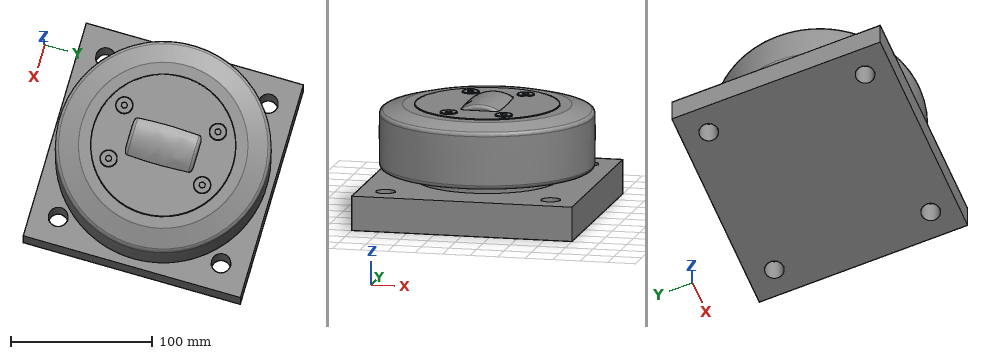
import cadquery as cq
import math

plate_side = 160.0
plate_thickness = 25.0
mount_hole_diameter = 13.84
mount_hole_spacing = 120.0

neck_diameter = 103.0

ring_diameter = 153.0
ring_bottom = 33.1
ring_top = 78.32
ring_flat_diameter = 120.0
shoulder_angle = 15.0
ring_rim_fillet = 3.0
ring_crown_radius = 1000.0

cover_diameter = 102.5
cover_top = 79.0
groove_diameter = 103.0
groove_depth = 1.0

screw_head_diameter = 11.7
screw_head_top = 79.5
screw_spacing_x = 40.0
screw_spacing_y = 69.0
screw_recess_diameter = 12.3
screw_recess_depth = 0.5
socket_across_flats = 4.0
socket_depth = 1.0

overall_height = 83.3
roller_chord = 29.4
roller_length = 50.0
roller_edge_fillet = 2.5
roller_crown_radius = 600.0
roller_rise = overall_height - cover_top
roller_radius = ((roller_chord / 2) ** 2 + roller_rise**2) / (2 * roller_rise)


def make_plate():
    return (
        cq.Workplane("XY")
        .rect(plate_side, plate_side)
        .extrude(plate_thickness)
        .faces(">Z")
        .workplane()
        .rect(mount_hole_spacing, mount_hole_spacing, forConstruction=True)
        .vertices()
        .hole(mount_hole_diameter)
    )


def cylinder_between(diameter, bottom, top):
    return cq.Workplane("XY").workplane(offset=bottom).circle(diameter / 2).extrude(top - bottom)


def make_barrel(diameter, bottom, top, rim_fillet, crown_radius, upper_outline=()):
    """Revolve a crowned wall about Z and round both of its rims.

    The upper outline lists (radius, z) points between the top rim and the axis.
    """
    half_height = (top - bottom) / 2
    bulge = crown_radius - math.sqrt(crown_radius**2 - half_height**2)
    rim_radius = diameter / 2 - bulge
    profile = (
        cq.Workplane("XZ")
        .moveTo(0, bottom)
        .lineTo(rim_radius, bottom)
        .threePointArc((diameter / 2, bottom + half_height), (rim_radius, top))
    )
    last_z = top
    for radius, z in upper_outline:
        profile = profile.lineTo(radius, z)
        last_z = z
    barrel = profile.lineTo(0, last_z).close().revolve(360, (0, 0, 0), (0, 1, 0))
    return barrel.edges(cq.selectors.RadiusNthSelector(-2)).fillet(rim_fillet)


def make_ring():
    """Outer ring: crowned wall, conical shoulder and flat top."""
    flat_radius = ring_flat_diameter / 2
    shoulder_drop = (ring_diameter / 2 - flat_radius) * math.tan(math.radians(shoulder_angle))
    return make_barrel(
        ring_diameter,
        ring_bottom,
        ring_top - shoulder_drop,
        ring_rim_fillet,
        ring_crown_radius,
        [(flat_radius, ring_top)],
    )


def make_roller():
    """Crowned roller turned onto the Y axis and sunk so that its crest sits at full height."""
    half_length = roller_length / 2
    upright = make_barrel(
        2 * roller_radius, -half_length, half_length, roller_edge_fillet, roller_crown_radius
    )
    lying = upright.rotate((0, 0, 0), (1, 0, 0), 90)
    return lying.translate((0, 0, overall_height - roller_radius))


def at_screws(bottom):
    """Workplane at the given height with a point on every screw axis."""
    return (
        cq.Workplane("XY")
        .workplane(offset=bottom)
        .rect(screw_spacing_x, screw_spacing_y, forConstruction=True)
        .vertices()
    )


def make_screw_recesses():
    recess_floor = cover_top - screw_recess_depth
    return at_screws(recess_floor).circle(screw_recess_diameter / 2).extrude(screw_recess_depth)


def make_screws():
    """Heads rising from the recess floors to just above the cover, and the hexagon sockets to cut in them."""
    recess_floor = cover_top - screw_recess_depth
    heads = at_screws(recess_floor).circle(screw_head_diameter / 2).extrude(screw_head_top - recess_floor)
    across_corners = socket_across_flats / math.cos(math.radians(30))
    sockets = at_screws(screw_head_top - socket_depth).polygon(6, across_corners).extrude(socket_depth)
    return heads, sockets


groove = cylinder_between(groove_diameter, ring_top - groove_depth, ring_top)
cover = cylinder_between(cover_diameter, ring_top - groove_depth, cover_top)
screw_heads, screw_sockets = make_screws()

result = (
    make_plate()
    .union(cylinder_between(neck_diameter, plate_thickness, ring_bottom))
    .union(make_ring())
    .cut(groove)
    .union(cover)
    .union(make_roller())
    .cut(make_screw_recesses())
    .union(screw_heads)
    .cut(screw_sockets)
)